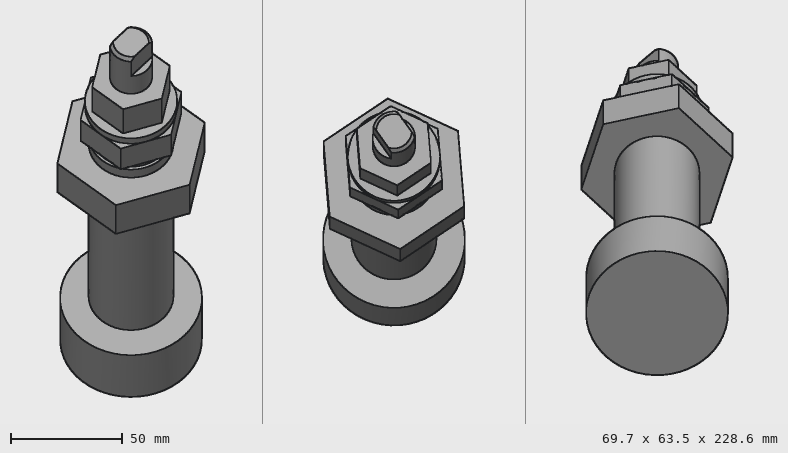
import cadquery as cq
import math

overall_height = 228.6

head_diameter = 63.5
head_height = 32.2
undercut_diameter = 35.0
undercut_height = 1.5
barrel_diameter = 38.1
neck_diameter = 35.0
neck_height = 6.3

gland_flats = 41.275
gland_height = 15.9
collar_diameter = gland_flats
collar_height = 4.1

rod_diameter = 19.05
rod_exposed_length = 26.4
tip_chamfer = 1.6
tip_width = 12.7
tip_length = 12.7

lock_nut_flats = 60.325
lock_nut_height = 22.1
lock_nut_setback = 6.2
rod_nut_flats = 31.75
rod_nut_height = 18.65

rod_nut_top = overall_height - rod_exposed_length
collar_top = rod_nut_top - rod_nut_height
gland_top = collar_top - collar_height
neck_top = gland_top - gland_height
barrel_top = neck_top - neck_height
barrel_bottom = head_height + undercut_height
lock_nut_bottom = barrel_top - lock_nut_setback - lock_nut_height


def cylinder(diameter, bottom, top):
    return cq.Workplane("XY").workplane(offset=bottom).circle(diameter / 2).extrude(top - bottom)


def hexagon(across_flats, bottom, top):
    """Hexagonal prism with two corners on the X axis."""
    across_corners = across_flats / math.cos(math.pi / 6)
    return cq.Workplane("XY").workplane(offset=bottom).polygon(6, across_corners).extrude(top - bottom)


def make_rod():
    """Round rod with a chamfered end and two spanner flats facing +X and -X."""
    rod = cylinder(rod_diameter, collar_top, overall_height)
    rod = rod.faces(">Z").chamfer(tip_chamfer)
    flat_depth = (rod_diameter - tip_width) / 2
    flat_cutter = cq.Workplane("XY").box(flat_depth, rod_diameter, tip_length)
    for side in (-1, 1):
        cutter_x = side * (tip_width + flat_depth) / 2
        rod = rod.cut(flat_cutter.translate((cutter_x, 0, overall_height - tip_length / 2)))
    return rod


def make_plunger_body():
    """Headed barrel with its neck, hexagonal gland, collar and rod, all in one piece."""
    body = cylinder(head_diameter, 0, head_height)
    body = body.union(cylinder(undercut_diameter, head_height, barrel_bottom))
    body = body.union(cylinder(barrel_diameter, barrel_bottom, barrel_top))
    body = body.union(cylinder(neck_diameter, barrel_top, neck_top))
    body = body.union(hexagon(gland_flats, neck_top, gland_top))
    body = body.union(cylinder(collar_diameter, gland_top, collar_top))
    return body.union(make_rod())


def make_nut(across_flats, bore_diameter, bottom, height):
    top = bottom + height
    return hexagon(across_flats, bottom, top).cut(cylinder(bore_diameter, bottom, top))


plunger_body = make_plunger_body()
lock_nut = make_nut(lock_nut_flats, barrel_diameter, lock_nut_bottom, lock_nut_height)
rod_nut = make_nut(rod_nut_flats, rod_diameter, collar_top, rod_nut_height)

result = cq.Compound.makeCompound([plunger_body.val(), lock_nut.val(), rod_nut.val()])